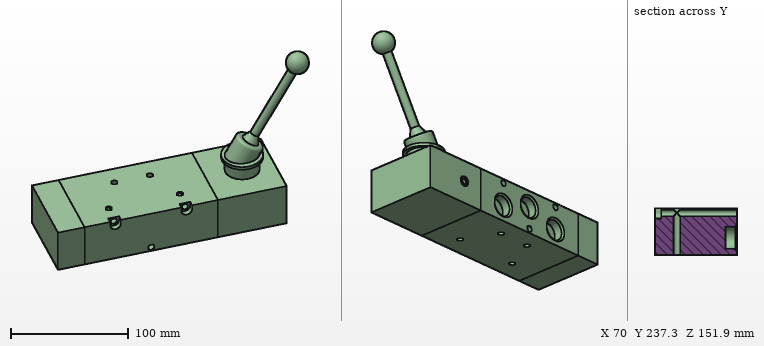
import cadquery as cq
import math


width = 70.0
height = 40.0
cap_length = 24.0
body_length = 120.0
head_length = 62.0

body_start = cap_length
body_middle = body_start + body_length / 2
head_start = body_start + body_length
port_face = -width / 2
slot_face = width / 2

port_pitch = 32.0
port_diameter = 18.5
port_chamfer = 1.7
port_depth = 9.7
middle_port_z = 25.0
outer_port_z = 15.0

mount_diameter = 5.5
upper_mount_z = 36.0
lower_mount_z = 4.0
right_hole_x = 16.4
left_hole_x = -16.5

slot_width = 9.5
slot_depth = 5.2

pilot_y = head_start + 20.0
pilot_z = 20.9
pilot_steps = [(9.0, 0.2), (7.8, 0.5), (4.7, 5.0)]

collar_y = head_start + 33.5
collar_diameter = 30.1
collar_height = 12.8
flange_diameter = 36.0
flange_thickness = 2.8
flange_top = height + collar_height + flange_thickness

lever_tilt = 30
boot_radius = 13.0
boot_length = 15.2
boot_fillet = 2.4
neck_base_radius = 7.5
neck_end = 22.5
rod_radius = 4.0
ball_radius = 10.0
ball_distance = 99.6


def block(start, length):
    """Full-section block from Y = start."""
    return cq.Workplane("XY").box(width, length, height, centered=(True, False, False)).translate((0, start, 0))


def side_cylinder(x, y, z, diameter, length):
    """Cylinder running from X = x in the +X direction."""
    return cq.Workplane("YZ", origin=(x, y, z)).circle(diameter / 2).extrude(length)


def port_cutter(y, z):
    """Blind port with a 45 degree chamfer at its mouth."""
    bore_radius = port_diameter / 2
    profile = (
        cq.Workplane("XY", origin=(port_face, y, z))
        .lineTo(0, bore_radius + port_chamfer)
        .lineTo(port_chamfer, bore_radius)
        .lineTo(port_depth, bore_radius)
        .lineTo(port_depth, 0)
        .close()
    )
    return profile.revolve(360, (0, 0, 0), (1, 0, 0))


def slot_cutter(y):
    """Round-bottomed slot around an upper mounting hole, open to the top and to the +X face."""
    x = slot_face - slot_depth
    round_bottom = side_cylinder(x, y, upper_mount_z, slot_width, slot_depth)
    opening = cq.Workplane("XY", origin=(x, y, upper_mount_z)).box(
        slot_depth, slot_width, height - upper_mount_z, centered=(False, True, False)
    )
    return round_bottom.union(opening)


def make_end_cap():
    return block(0, cap_length)


def make_valve_body():
    body = block(body_start, body_length)

    body = body.cut(port_cutter(body_middle, middle_port_z))
    body = body.cut(side_cylinder(port_face, body_middle, lower_mount_z, mount_diameter, width))

    for side in (-1, 1):
        y = body_middle + side * port_pitch
        body = body.cut(port_cutter(y, outer_port_z))
        body = body.cut(side_cylinder(port_face, y, upper_mount_z, mount_diameter, width))
        body = body.cut(slot_cutter(y))

    vertical_holes = []
    for side in (-1, 1):
        vertical_holes.append((right_hole_x, body_middle + side * port_pitch))
        vertical_holes.append((left_hole_x, body_middle + side * port_pitch / 2))
    drills = cq.Workplane("XY").pushPoints(vertical_holes).circle(mount_diameter / 2).extrude(height)
    return body.cut(drills)


def make_collar():
    """Upright collar with its flange on top."""
    collar = cq.Workplane("XY", origin=(0, collar_y, height)).circle(collar_diameter / 2).extrude(collar_height)
    return collar.faces(">Z").workplane().circle(flange_diameter / 2).extrude(flange_thickness)


def make_lever():
    """Boot, neck, rod and ball on one axis, leaning towards +Y and trimmed level with the flange top."""
    boot_reach = boot_radius * math.tan(math.radians(lever_tilt))
    fillet_mid = boot_fillet * math.sqrt(0.5)
    shaft = (
        cq.Workplane("XZ")
        .moveTo(0, -boot_reach)
        .lineTo(boot_radius, -boot_reach)
        .lineTo(boot_radius, boot_length - boot_fillet)
        .threePointArc(
            (boot_radius - boot_fillet + fillet_mid, boot_length - boot_fillet + fillet_mid),
            (boot_radius - boot_fillet, boot_length),
        )
        .lineTo(neck_base_radius, boot_length)
        .lineTo(rod_radius, neck_end)
        .lineTo(rod_radius, ball_distance)
        .lineTo(0, ball_distance)
        .close()
        .revolve(360, (0, 0, 0), (0, 1, 0))
    )
    ball = cq.Workplane("XY").sphere(ball_radius).translate((0, 0, ball_distance))
    lever = shaft.union(ball).rotate((0, 0, 0), (1, 0, 0), -lever_tilt)

    trim_size = 4 * boot_radius
    below_flange_top = cq.Workplane("XY").box(trim_size, trim_size, trim_size, centered=(True, True, False))
    below_flange_top = below_flange_top.translate((0, 0, -trim_size))
    return lever.cut(below_flange_top).translate((0, collar_y, flange_top))


def make_lever_head():
    head = block(head_start, head_length)
    for diameter, depth in pilot_steps:
        head = head.cut(side_cylinder(port_face, pilot_y, pilot_z, diameter, depth))
    return head.union(make_collar()).union(make_lever())


end_cap = make_end_cap()
valve_body = make_valve_body()
lever_head = make_lever_head()

bodies = [end_cap, valve_body, lever_head]
result = cq.Compound.makeCompound([body.solids().val() for body in bodies])